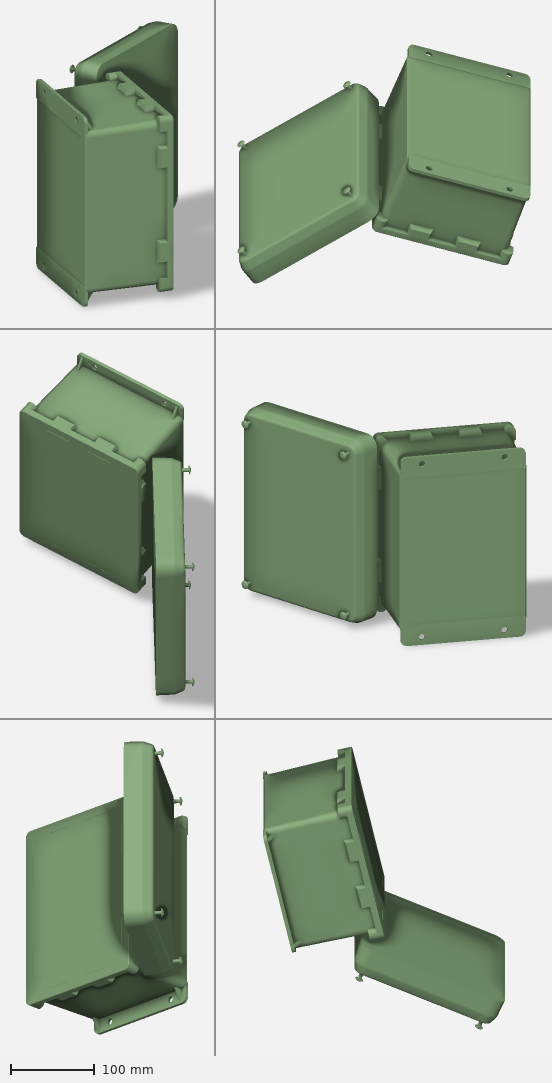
import cadquery as cq
import math

RIM_WIDTH = 171.8
RIM_HEIGHT = 223.3
RIM_Y = 111.0
RIM_BAND = 7.8
RIM_CORNER = 7.2
RIM_CHAMFER = 0.5
BASE_Y = 1.0
BASE_WIDTH = 155.0
BASE_HEIGHT = 205.2
BASE_CORNER = 6.5
BASE_CHAMFER = 2.0
WALL_DRAFT = 1.2

BOSS_LENGTH = 17.8
BOSS_DEPTH = 17.5
TAB_WIDTH = 24.3
TAB_DEPTH = BOSS_DEPTH
TAB_FLARE = 19.0
TAB_REACH = 12.5
TAB_OFFSET_LONG_SIDE = 60.0
TAB_OFFSET_SHORT_SIDE = 30.0

FLANGE_WIDTH = 152.5
FLANGE_SPAN = 240.7
FLANGE_HEIGHT = 25.5
FLANGE_THICKNESS = 4.5
FLANGE_CORNER = 7.2
FLANGE_HOLE = 8.0
FLANGE_HOLE_X = 50.5
FLANGE_HOLE_Z = 110.7
GUSSET_X = 68.5
GUSSET_THICKNESS = 2.8
GUSSET_TOP_Z = 118.2
GUSSET_FOOT_Y = 15.3
GUSSET_FOOT_Z = 101.7

LID_LENGTH = 186.0
LID_HEIGHT = 236.5
LID_CORNER = 15.5
LID_SIDE_DEPTH = 22.5
LID_SIDE_INSET = 0.5
LID_DEPTH = 35.0
LID_BEVEL_INSET = 5.0
LID_SHOULDER_FILLET = 6.2
LID_FACE_FILLET = 4.5

LID_CENTER = (-141.5, 157.2, 0)
LID_ANGLE = 53.8

SCREW_SHANK = 4.5
SCREW_HEAD = 10.3
SCREW_HEAD_HEIGHT = 2.8
SCREW_HEAD_RIM = 0.5
SCREW_GAP = 8.5
CROSS_LENGTH = 6.2
CROSS_WIDTH = 1.2
CROSS_DEPTH = 1.5


def rounded_block(width, height, depth, corner, draft=0):
    """Block with rounded vertical edges, grown along +z and narrowing by the draft angle."""
    outline = cq.Sketch().rect(width, height).vertices().fillet(corner)
    return cq.Workplane("XY").placeSketch(outline).extrude(depth, taper=draft)


def facing_back(shape, y):
    """Turn a shape grown along +z so that it grows along +Y from the given Y, its local y along -Z."""
    return shape.rotate((0, 0, 0), (1, 0, 0), -90).translate((0, y, 0))


def make_walls():
    walls = facing_back(
        rounded_block(BASE_WIDTH, BASE_HEIGHT, RIM_Y - BASE_Y, BASE_CORNER, -WALL_DRAFT), BASE_Y
    )
    return walls.faces("<Y").edges().chamfer(BASE_CHAMFER)


def make_rim_band():
    band = facing_back(
        rounded_block(RIM_WIDTH, RIM_HEIGHT, RIM_BAND, RIM_CORNER), RIM_Y - RIM_BAND
    )
    return band.faces(">Y").edges().chamfer(RIM_CHAMFER)


def make_corner_boss(side_x, side_z):
    """Boss under a rim corner, round about the corner's center and straight towards the middle of the side."""
    center_x = side_x * (RIM_WIDTH / 2 - RIM_CORNER)
    center_z = side_z * (RIM_HEIGHT / 2 - RIM_CORNER)
    straight = BOSS_LENGTH - RIM_CORNER
    boss = (
        cq.Workplane("XY")
        .circle(RIM_CORNER)
        .extrude(BOSS_DEPTH - RIM_BAND)
        .union(
            cq.Workplane("XY")
            .center(0, side_z * straight / 2)
            .rect(2 * RIM_CORNER, straight)
            .extrude(BOSS_DEPTH - RIM_BAND)
        )
    )
    return facing_back(boss, RIM_Y - BOSS_DEPTH).translate((center_x, 0, center_z))


def make_tab(rim_span, offset, angle):
    """Tab on one side of the rim, flaring towards the wall; the angle turns it about Y from the +Z side."""
    top_y = RIM_Y - RIM_BAND / 2
    bottom_y = RIM_Y - TAB_DEPTH
    height = top_y - bottom_y
    growth = 2 * TAB_REACH * math.tan(math.radians(TAB_FLARE))
    tab = (
        cq.Workplane("XY", origin=(offset, (top_y + bottom_y) / 2, rim_span / 2))
        .rect(TAB_WIDTH, height)
        .workplane(offset=-TAB_REACH)
        .rect(TAB_WIDTH + growth, height + growth)
        .loft(ruled=True)
    )
    return tab.rotate((0, 0, 0), (0, 1, 0), angle)


def make_flange():
    """Flange at the +Z end, with two screw holes and two gussets behind it."""
    flange = cq.Workplane("XY").box(
        FLANGE_WIDTH, FLANGE_THICKNESS, FLANGE_HEIGHT, centered=(True, False, False)
    )
    flange = flange.faces(">Z").edges("|Y").fillet(FLANGE_CORNER)
    flange = flange.translate((0, 0, FLANGE_SPAN / 2 - FLANGE_HEIGHT))
    holes = (
        cq.Workplane("XZ")
        .pushPoints([(-FLANGE_HOLE_X, FLANGE_HOLE_Z), (FLANGE_HOLE_X, FLANGE_HOLE_Z)])
        .circle(FLANGE_HOLE / 2)
        .extrude(-FLANGE_THICKNESS)
    )
    flange = flange.cut(holes)
    for x in (-GUSSET_X, GUSSET_X):
        gusset = (
            cq.Workplane("YZ", origin=(x, 0, 0))
            .moveTo(FLANGE_THICKNESS / 2, GUSSET_TOP_Z)
            .lineTo(FLANGE_THICKNESS, GUSSET_TOP_Z)
            .lineTo(GUSSET_FOOT_Y, GUSSET_FOOT_Z)
            .lineTo(FLANGE_THICKNESS / 2, GUSSET_FOOT_Z)
            .close()
            .extrude(GUSSET_THICKNESS / 2, both=True)
        )
        flange = flange.union(gusset)
    return flange


def make_box():
    box = make_walls().union(make_rim_band())
    for side_x in (-1, 1):
        for side_z in (-1, 1):
            box = box.union(make_corner_boss(side_x, side_z))
    for side in (-1, 1):
        for angle in (0, 180):
            box = box.union(make_tab(RIM_HEIGHT, side * TAB_OFFSET_SHORT_SIDE, angle))
        for angle in (90, 270):
            box = box.union(make_tab(RIM_WIDTH, side * TAB_OFFSET_LONG_SIDE, angle))
    flange = make_flange()
    return box.union(flange).union(flange.mirror("XY"))


def place_on_lid(shape):
    """Move a shape from the lid's own frame to the open lid."""
    upright = shape.rotate((0, 0, 0), (1, 0, 0), 90)
    return upright.rotate((0, 0, 0), (0, 0, 1), -LID_ANGLE).translate(LID_CENTER)


def screw_places():
    """The screws are concentric with the rounded lid corners."""
    x = LID_LENGTH / 2 - LID_CORNER
    y = LID_HEIGHT / 2 - LID_CORNER
    return [(-x, -y), (x, -y), (x, y), (-x, y)]


def make_lid():
    """Lid with nearly upright sides, a bevelled shoulder and a rounded outer face."""
    side_draft = math.degrees(math.atan2(LID_SIDE_INSET, LID_SIDE_DEPTH))
    bevel_depth = LID_DEPTH - LID_SIDE_DEPTH
    bevel_draft = math.degrees(math.atan2(LID_BEVEL_INSET, bevel_depth))
    sides = rounded_block(LID_LENGTH, LID_HEIGHT, LID_SIDE_DEPTH, LID_CORNER, side_draft)
    bevel = rounded_block(
        LID_LENGTH - 2 * LID_SIDE_INSET,
        LID_HEIGHT - 2 * LID_SIDE_INSET,
        bevel_depth,
        LID_CORNER - LID_SIDE_INSET,
        bevel_draft,
    ).translate((0, 0, LID_SIDE_DEPTH))
    lid = sides.union(bevel)
    lid = lid.faces(">Z").edges().fillet(LID_FACE_FILLET)
    shoulder = cq.selectors.BoxSelector(
        (-LID_LENGTH, -LID_HEIGHT, LID_SIDE_DEPTH - 0.3), (LID_LENGTH, LID_HEIGHT, LID_SIDE_DEPTH + 0.3)
    )
    lid = lid.edges(shoulder).fillet(LID_SHOULDER_FILLET)
    holes = cq.Workplane("XY").pushPoints(screw_places()).circle(SCREW_SHANK / 2).extrude(LID_DEPTH)
    return place_on_lid(lid.cut(holes))


def make_screw(place):
    """Screw with a domed, cross-recessed head; its shank ends flush with the open side of the lid."""
    head_z = LID_DEPTH + SCREW_GAP
    top_z = head_z + SCREW_HEAD_HEIGHT
    dome_height = SCREW_HEAD_HEIGHT - SCREW_HEAD_RIM
    dome_radius = ((SCREW_HEAD / 2) ** 2 + dome_height**2) / (2 * dome_height)
    screw = (
        cq.Workplane("XZ")
        .lineTo(SCREW_SHANK / 2, 0)
        .lineTo(SCREW_SHANK / 2, head_z)
        .lineTo(SCREW_HEAD / 2, head_z)
        .lineTo(SCREW_HEAD / 2, head_z + SCREW_HEAD_RIM)
        .radiusArc((0, top_z), -dome_radius)
        .close()
        .revolve(360, (0, 0, 0), (0, 1, 0))
    )
    for length, width in ((CROSS_LENGTH, CROSS_WIDTH), (CROSS_WIDTH, CROSS_LENGTH)):
        slot = cq.Workplane("XY").rect(length, width).extrude(CROSS_DEPTH)
        screw = screw.cut(slot.translate((0, 0, top_z - CROSS_DEPTH)))
    return place_on_lid(screw.translate((*place, 0)))


box = make_box()
lid = make_lid()
screws = [make_screw(place) for place in screw_places()]

result = cq.Compound.makeCompound([box.val(), lid.val(), *[screw.val() for screw in screws]])